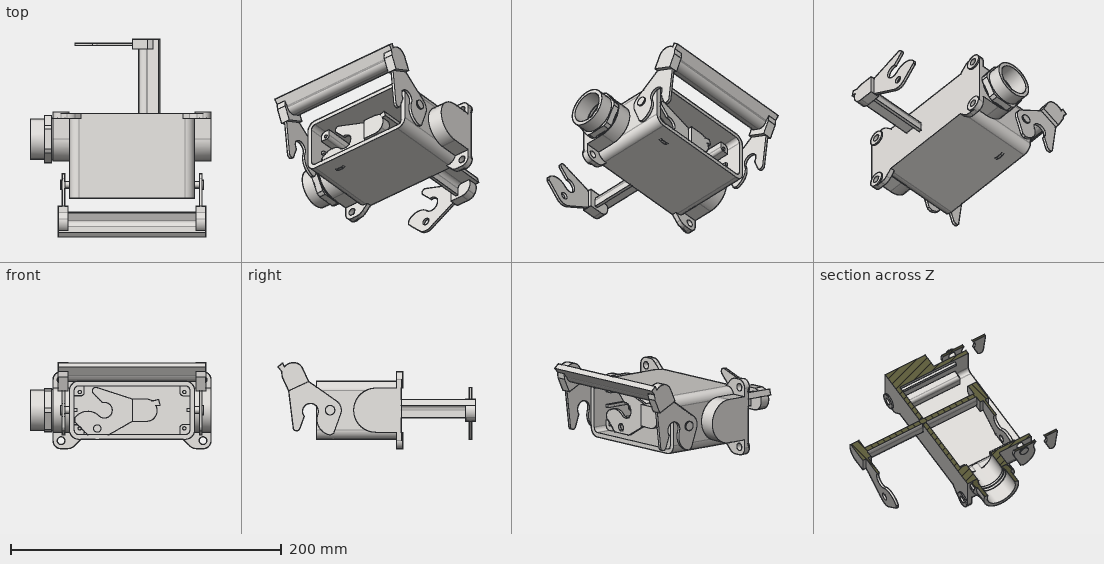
import cadquery as cq
import math


body_length = 92.5
body_height = 43.0
body_depth = 62.8
wall = 3.5
corner_radius = 7.0
cavity_length = body_length - 2 * wall
cavity_height = body_height - 2 * wall
cavity_depth = body_depth - wall

post_width = 7.4
post_recess = 11.7
post_edge_radius = 2.5
pilot_diameter = 2.46
pilot_x = 38.6
pilot_z = 13.4
rib_size = 2.2
fitting_length = body_depth - post_recess - wall

boss_radius = 16.3
boss_y = -19.0
boss_end = 58.4
cable_hole_diameter = 21.8
ear_thickness = 3.7
ear_hole_diameter = 5.5
pad_diameter = 12.0
pad_height = 1.1
ear_hole_x = boss_end - pad_diameter / 2
ear_hole_z = 22.5
ear_tip_z = ear_hole_z + pad_diameter / 2
ear_flat = 4.5
ear_heel_radius = 8.0

pivot_y = -52.7
pin_diameter = 5.1
pin_head_diameter = 7.0
pin_head_height = 1.1

lever_length = 109.1
side_plate = 2.0
end_block = 7.4
plate_inset = 2.85
lever_hole_diameter = 5.5
open_lever_angle = 65.0
stowed_lever_x = -25.7
stowed_lever_y = 0.3
stowed_lever_z = -13.5

plate_end_a = 25.9
plate_bottom_b = 5.3
plate_top_b = 21.75
pivot_end_radius = 8.3
notch_center = (5.3, 13.5)
notch_radius = 5.8
notch_mouth_angle = 104.0
hook_center = (-7.0, 1.0)
hook_end_angle = 145.0
finger_slope = 18.0
finger_tip_radius = 2.6

dome_start_a = 36.6
dome_radius = 7.5
dome_shoulder_angle = -39.0
dome_crown = (44.1, 12.2)
dome_end_a = 43.3
dip = (41.5, 20.3)
dip_start_a = 37.1
bend_center = (36.2, 13.6)
bend_radius = 5.7
strip_thickness = 2.3
lip_b = bend_center[1] + bend_radius - strip_thickness
handle_bottom_b = 7.8
lip_flat = 0.9
lip_angle = 15.0
lip_top_a = 45.3

gland_end = -75.1
barrel_diameter = 30.0
barrel_length = 10.4
hex_flats = 32.0
hex_corner_diameter = 35.2
hex_length = 5.3
neck_diameter = 31.0
gland_bore = 24.24
gland_bore_depth = 13.0
gland_inner_bore = 23.4
gland_inner_depth = 15.0
gland_length = -boss_end - gland_end


def along_x(diameter, start_x, length, y=0.0):
    """A round bar parallel to X at mid-height."""
    plane = cq.Plane(origin=(start_x, y, 0), xDir=(0, 1, 0), normal=(1, 0, 0))
    return cq.Workplane(plane).circle(diameter / 2).extrude(length)


def toward_front(start_y):
    """A workplane parallel to XZ whose extrusions run toward -Y."""
    return cq.Workplane("XZ", origin=(0, start_y, 0))


def housing_shell():
    """The rounded outer box and the cavity that hollows it."""
    outer = toward_front(0).rect(body_length, body_height).extrude(body_depth)
    outer = outer.edges("|Y").fillet(corner_radius)
    cavity = toward_front(-wall).rect(cavity_length, cavity_height).extrude(cavity_depth)
    cavity = cavity.edges("|Y").fillet(corner_radius - wall)
    return outer, cavity


def corner_post():
    """Square post in the +X, +Z corner of the cavity, rounded on its free corner."""
    outer_x = cavity_length / 2
    outer_z = cavity_height / 2
    inner_x = outer_x - post_width
    inner_z = outer_z - post_width
    post = (
        toward_front(-wall)
        .moveTo(outer_x, outer_z)
        .lineTo(inner_x, outer_z)
        .lineTo(inner_x, inner_z + post_edge_radius)
        .radiusArc((inner_x + post_edge_radius, inner_z), -post_edge_radius)
        .lineTo(outer_x, inner_z)
        .close()
        .extrude(fitting_length)
    )
    pilot = toward_front(-wall).center(pilot_x, pilot_z).circle(pilot_diameter / 2)
    return post.cut(pilot.extrude(fitting_length))


def cavity_fittings(cavity):
    """Four corner posts and two end-wall ribs, trimmed to the cavity's rounded corners."""
    upper_posts = corner_post().union(corner_post().mirror("YZ"))
    ribs = toward_front(-wall).rarray(cavity_length - rib_size, 1, 2, 1)
    ribs = ribs.rect(rib_size, rib_size).extrude(fitting_length)
    fittings = upper_posts.union(upper_posts.mirror("XY")).union(ribs)
    return fittings.intersect(cavity)


def cable_boss():
    """D-shaped bar from the mounting face to a half-round about the cable axis."""
    plane = cq.Plane(origin=(-boss_end, 0, 0), xDir=(0, 1, 0), normal=(1, 0, 0))
    return (
        cq.Workplane(plane)
        .moveTo(0, boss_radius)
        .lineTo(boss_y, boss_radius)
        .threePointArc((boss_y - boss_radius, 0), (boss_y, -boss_radius))
        .lineTo(0, -boss_radius)
        .close()
        .extrude(2 * boss_end)
    )


def lower_ear():
    """Mounting ear below the +X boss, with its round pad and screw hole."""
    heel_x = ear_hole_x - ear_flat
    diagonal = math.sqrt(0.5)
    slope_x = heel_x - ear_heel_radius * diagonal
    slope_z = -ear_tip_z + ear_heel_radius * (1 - diagonal)
    inner_x = slope_x + slope_z
    ear = (
        toward_front(0)
        .moveTo(boss_end, 0)
        .lineTo(boss_end, -ear_hole_z)
        .radiusArc((ear_hole_x, -ear_tip_z), pad_diameter / 2)
        .lineTo(heel_x, -ear_tip_z)
        .radiusArc((slope_x, slope_z), ear_heel_radius)
        .lineTo(inner_x, 0)
        .close()
        .extrude(ear_thickness)
    )
    hole_spot = toward_front(pad_height).center(ear_hole_x, -ear_hole_z)
    pad = hole_spot.circle(pad_diameter / 2).extrude(pad_height + ear_thickness)
    hole = hole_spot.circle(ear_hole_diameter / 2).extrude(pad_height + ear_thickness)
    return ear.union(pad).cut(hole)


def pivot_pin(side):
    """Headed pin on an end wall; side is -1 or 1."""
    wall_x = side * body_length / 2
    plate_x = side * (lever_length / 2 - plate_inset)
    shank = along_x(pin_diameter, wall_x, plate_x - wall_x, pivot_y)
    head = along_x(pin_head_diameter, plate_x, side * pin_head_height, pivot_y)
    return shank.union(head)


def make_housing(stowed_lever):
    outer, cavity = housing_shell()
    lower_ears = lower_ear().union(lower_ear().mirror("YZ"))
    ears = lower_ears.union(lower_ears.mirror("XY"))
    housing = outer.union(cable_boss()).union(ears)
    housing = housing.cut(cavity).union(cavity_fittings(cavity))
    housing = housing.cut(along_x(cable_hole_diameter, -boss_end, boss_end, boss_y))
    for side in (-1, 1):
        housing = housing.union(pivot_pin(side))
    return housing.cut(stowed_lever)


def make_gland():
    barrel = along_x(barrel_diameter, gland_end, barrel_length, boss_y)
    hex_x = gland_end + barrel_length
    hex_plane = cq.Plane(origin=(hex_x, boss_y, 0), xDir=(0, 1, 0), normal=(1, 0, 0))
    across_corners = hex_flats / math.cos(math.pi / 6)
    nut = cq.Workplane(hex_plane).polygon(6, across_corners).extrude(hex_length)
    nut = nut.intersect(along_x(hex_corner_diameter, hex_x, hex_length, boss_y))
    neck = along_x(neck_diameter, hex_x, gland_length - barrel_length, boss_y)
    gland = barrel.union(nut).union(neck)
    gland = gland.cut(along_x(gland_bore, gland_end, gland_bore_depth, boss_y))
    gland = gland.cut(along_x(gland_inner_bore, gland_end, gland_inner_depth, boss_y))
    return gland.cut(along_x(cable_hole_diameter, gland_end, gland_length, boss_y))


def polar(center, radius, degrees):
    """Point at the given radius and angle about a centre."""
    angle = math.radians(degrees)
    return (center[0] + radius * math.cos(angle), center[1] + radius * math.sin(angle))


def side_plate_solid(start_c):
    """Hooked plate: latch finger, round latch notch and rounded pivot end."""
    pivot = (0, 0)
    hook_to_notch = (notch_center[0] - hook_center[0], notch_center[1] - hook_center[1])
    hook_radius = math.hypot(*hook_to_notch) - notch_radius
    hook_angle = math.degrees(math.atan2(hook_to_notch[1], hook_to_notch[0]))
    hook_start = polar(hook_center, hook_radius, hook_angle)
    hook_end = polar(hook_center, hook_radius, hook_end_angle)
    heel = (hook_end[0], -pivot_end_radius * math.sqrt(2) - hook_end[0])
    mouth = polar(notch_center, notch_radius, notch_mouth_angle)
    mouth_sum = sum(mouth)
    taper = math.tan(math.radians(finger_slope))
    tip_a = (mouth_sum - plate_top_b - taper * plate_end_a) / (1 - taper)
    tip = (tip_a, mouth_sum - tip_a)
    corner_reach = math.hypot(plate_end_a, plate_bottom_b)
    corner_angle = math.degrees(math.atan2(plate_bottom_b, plate_end_a))
    lower_angle = corner_angle - math.degrees(math.acos(pivot_end_radius / corner_reach))
    plate = (
        cq.Workplane("XY", origin=(0, 0, start_c))
        .moveTo(plate_end_a, plate_bottom_b)
        .lineTo(plate_end_a, plate_top_b)
        .lineTo(*tip)
        .lineTo(*mouth)
        .threePointArc((notch_center[0] + notch_radius, notch_center[1]), hook_start)
        .threePointArc(polar(hook_center, hook_radius, 90), hook_end)
        .lineTo(*heel)
        .lineTo(*polar(pivot, pivot_end_radius, 225))
        .threePointArc(
            polar(pivot, pivot_end_radius, 270), polar(pivot, pivot_end_radius, lower_angle)
        )
        .close()
        .extrude(side_plate)
    )
    tip_edge = cq.NearestToPointSelector((*tip, start_c + side_plate / 2))
    plate = plate.edges("|Z").edges(tip_edge).fillet(finger_tip_radius)
    hole = cq.Workplane("XY", origin=(0, 0, start_c)).circle(lever_hole_diameter / 2)
    return plate.cut(hole.extrude(side_plate))


def end_block_solid(start_c):
    """Thick block with a domed outer end that carries the handle."""
    dome_center = (dome_start_a, plate_bottom_b + dome_radius)
    dome_shoulder = polar(dome_center, dome_radius, dome_shoulder_angle)
    lower_dome_middle = (dome_shoulder_angle - 90) / 2
    return (
        cq.Workplane("XY", origin=(0, 0, start_c))
        .moveTo(plate_end_a, plate_bottom_b)
        .lineTo(dome_start_a, plate_bottom_b)
        .threePointArc(polar(dome_center, dome_radius, lower_dome_middle), dome_shoulder)
        .threePointArc(dome_crown, (dome_end_a, lip_b))
        .lineTo(*dip)
        .lineTo(dip_start_a, plate_top_b)
        .lineTo(plate_end_a, plate_top_b)
        .close()
        .extrude(end_block)
    )


def handle_solid():
    """Full-length handle strip of J section, ending in a sloping lip."""
    back_a = bend_center[0] - bend_radius
    inner_radius = bend_radius - strip_thickness
    lip_slope = math.tan(math.radians(lip_angle))
    lip_start_a = bend_center[0] + lip_flat
    strip_top = bend_center[1] + bend_radius
    lip_top = (lip_top_a, strip_top + (lip_top_a - lip_start_a) * lip_slope)
    lip_tip_a = lip_top_a + (lip_top[1] - lip_b) * lip_slope
    return (
        cq.Workplane("XY", origin=(0, 0, -lever_length / 2))
        .moveTo(back_a, handle_bottom_b)
        .lineTo(back_a, bend_center[1])
        .threePointArc(polar(bend_center, bend_radius, 135), polar(bend_center, bend_radius, 90))
        .lineTo(lip_start_a, strip_top)
        .lineTo(*lip_top)
        .lineTo(lip_tip_a, lip_b)
        .lineTo(bend_center[0], bend_center[1] + inner_radius)
        .threePointArc(polar(bend_center, inner_radius, 135), polar(bend_center, inner_radius, 180))
        .lineTo(back_a + strip_thickness, handle_bottom_b)
        .close()
        .extrude(lever_length)
    )


def make_lever():
    """Lever in its own axes, symmetric about c = 0, the middle of the handle."""
    block_start = -lever_length / 2
    lever_end = end_block_solid(block_start).union(side_plate_solid(block_start + plate_inset))
    return handle_solid().union(lever_end).union(lever_end.mirror("XY"))


def placed_lever(origin, a_axis, c_axis):
    """A lever with its pivot and its a and c axes set in the assembly."""
    plane = cq.Plane(origin=origin, xDir=a_axis, normal=c_axis)
    return cq.Workplane(make_lever().solids().val().located(cq.Location(plane)))


open_angle = math.radians(open_lever_angle)
open_lever = placed_lever(
    origin=(0, pivot_y, 0),
    a_axis=(0, -math.cos(open_angle), math.sin(open_angle)),
    c_axis=(1, 0, 0),
)
stowed_lever = placed_lever(
    origin=(stowed_lever_x, stowed_lever_y, stowed_lever_z),
    a_axis=(1, 0, 0),
    c_axis=(0, -1, 0),
)
housing = make_housing(stowed_lever)
gland = make_gland()

result = cq.Compound.makeCompound(
    [body.solids().val() for body in (housing, gland, open_lever, stowed_lever)]
)